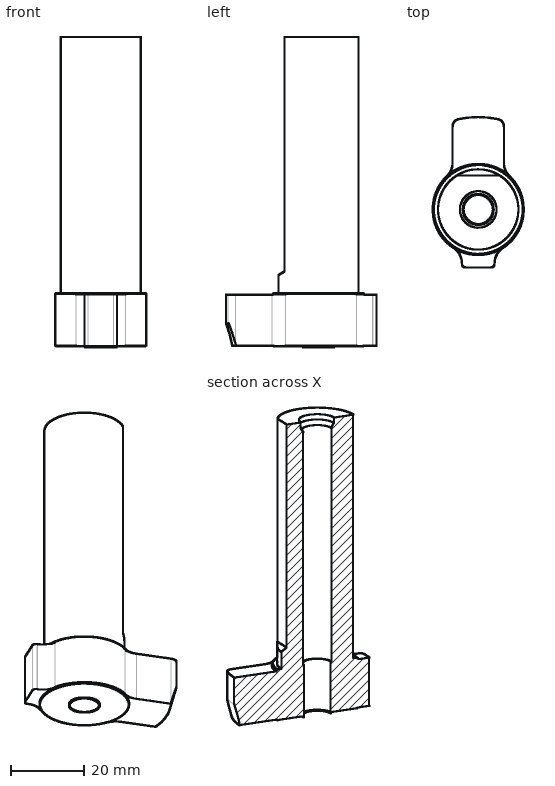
import cadquery as cq
import math

total_height = 85.0
shaft_diameter = 22.0

flat_offset = 9.35
flat_bottom = 20.8
runout_bottom = 19.8

collar_radius = 12.5
collar_bottom = 0.25
collar_top = 15.0
collar_chamfer = 0.3

arm_bottom = 0.4
arm_top = 14.45
arm_height = arm_top - arm_bottom
neck_radius = 5.1

lever_reach = 25.3
lever_half_width = 7.05
lever_corner_radius = 2.1
lever_bottom_reach = 23.6
lever_taper_top = 6.7

tail_reach = 15.9
tail_half_width = 4.5
tail_corner_radius = 1.0

rim_diameter = 8.5
through_diameter = 8.0
bore_diameter = 8.5
counterbore_diameter = 10.0
counterbore_depth = 1.5
cone_depth = 1.4


def cylinder(diameter, bottom, top):
    return cq.Workplane("XY").workplane(offset=bottom).circle(diameter / 2).extrude(top - bottom)


def arm_with_necks(half_width, reach):
    """Straight arm along +Y, flared into the collar by concave tangent arcs."""
    center_x = half_width + neck_radius
    center_distance = collar_radius + neck_radius
    center_y = math.sqrt(center_distance**2 - center_x**2)
    touch_x = center_x * collar_radius / center_distance
    touch_y = center_y * collar_radius / center_distance
    contact_angle = math.atan2(center_y, center_x) + math.pi
    side_angle = math.pi
    mid_angle = (contact_angle + side_angle) / 2
    mid_x = center_x + neck_radius * math.cos(mid_angle)
    mid_y = center_y + neck_radius * math.sin(mid_angle)
    return (
        cq.Workplane("XY")
        .workplane(offset=arm_bottom)
        .moveTo(0, 0)
        .lineTo(touch_x, touch_y)
        .threePointArc((mid_x, mid_y), (half_width, center_y))
        .lineTo(half_width, reach)
        .lineTo(-half_width, reach)
        .lineTo(-half_width, center_y)
        .threePointArc((-mid_x, mid_y), (-touch_x, touch_y))
        .close()
        .extrude(arm_height)
    )


def make_lever():
    """Lever with a rounded end that tapers conically towards the bottom."""
    end_round = cylinder(2 * lever_reach, arm_bottom, arm_top)
    lever = arm_with_necks(lever_half_width, lever_reach).intersect(end_round)
    lever = lever.faces(">Y").edges("|Z").fillet(lever_corner_radius)
    taper_envelope = (
        cq.Workplane("XZ")
        .moveTo(0, arm_bottom)
        .lineTo(lever_bottom_reach, arm_bottom)
        .lineTo(lever_reach, lever_taper_top)
        .lineTo(lever_reach, arm_top)
        .lineTo(0, arm_top)
        .close()
        .revolve(360, (0, 0, 0), (0, 1, 0))
    )
    return lever.intersect(taper_envelope)


def make_tail():
    """Short tail opposite the lever, with rounded end corners."""
    tail = arm_with_necks(tail_half_width, tail_reach)
    tail = tail.faces(">Y").edges("|Z").fillet(tail_corner_radius)
    return tail.rotate((0, 0, 0), (0, 0, 1), 180)


def make_shaft():
    shaft_radius = shaft_diameter / 2
    flat_cut = (
        cq.Workplane("YZ")
        .moveTo(flat_offset, total_height)
        .lineTo(flat_offset, flat_bottom)
        .lineTo(shaft_radius, runout_bottom)
        .lineTo(shaft_diameter, runout_bottom)
        .lineTo(shaft_diameter, total_height)
        .close()
        .extrude(shaft_radius, both=True)
    )
    return cylinder(shaft_diameter, collar_bottom, total_height).cut(flat_cut)


def make_bore():
    """Stepped round bore, revolved from its half profile."""
    counterbore_floor = total_height - counterbore_depth
    cone_end = counterbore_floor - cone_depth
    return (
        cq.Workplane("XZ")
        .moveTo(0, 0)
        .lineTo(through_diameter / 2, 0)
        .lineTo(through_diameter / 2, collar_top)
        .lineTo(bore_diameter / 2, collar_top)
        .lineTo(bore_diameter / 2, cone_end)
        .lineTo(counterbore_diameter / 2, counterbore_floor)
        .lineTo(counterbore_diameter / 2, total_height)
        .lineTo(0, total_height)
        .close()
        .revolve(360, (0, 0, 0), (0, 1, 0))
    )


collar = cylinder(2 * collar_radius, collar_bottom, collar_top).edges().chamfer(collar_chamfer)
bottom_rim = cylinder(rim_diameter, 0, collar_top)

body = make_shaft().union(collar).union(bottom_rim)
body = body.union(make_lever()).union(make_tail())
result = body.cut(make_bore())